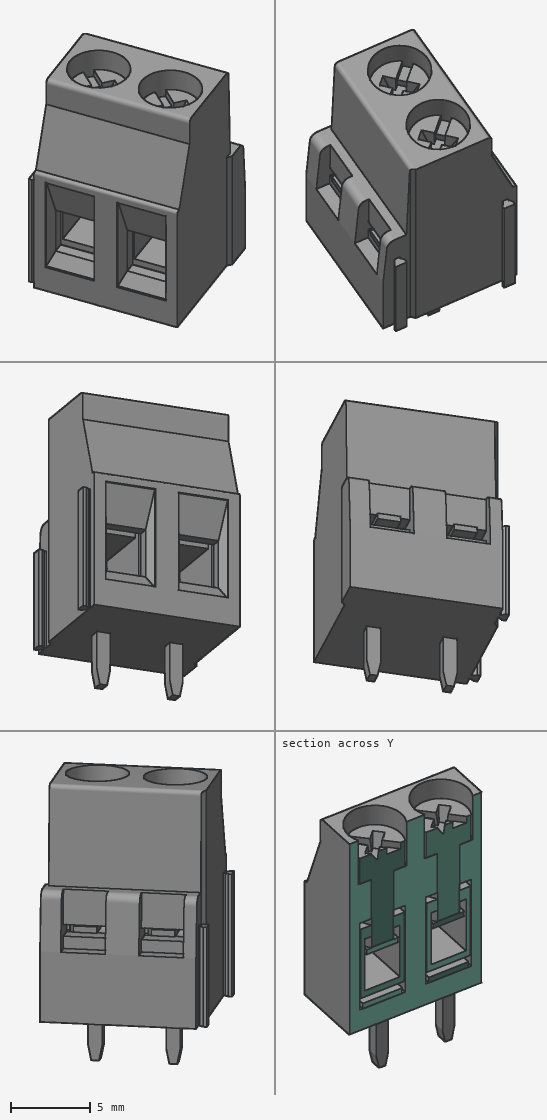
import cadquery as cq


PITCH = 5.0
POLES = 2
BODY_WIDTH = PITCH * POLES
POLE_XS = [PITCH * (i + 0.5) for i in range(POLES)]
SCREW_Y = 4.3

OVERALL_HEIGHT = 18.5
BODY_HEIGHT = 14.98
DEPTH = 9.5
FRONT_HEIGHT = 9.0
FRONT_ROUND = 0.2
SLOPE_FOOT_Y = 0.3
SLOPE_TOP_Y = 1.81
SLOPE_TOP_Z = 13.1
TOP_ROUND = 0.31
SIDE_STEP = 0.25
BACK_TOP_Y = 7.58
BACK_FOOT_Y = 7.83
STEP_FRONT_Y = 7.29
STEP_BACK_Y = STEP_FRONT_Y + SIDE_STEP
LEDGE_HEIGHT = 8.45
LEDGE_ROUND = 0.6
LEDGE_BACK_Y = 9.2
REAR_LEAN_Z = 4.6

RIB_WIDTH = 0.8
RIB_NECK_WIDTH = 0.4
RIB_REACH = 0.57
RIB_HEAD = 0.22
RIB_NECK = 0.11
FRONT_RIB_Y = 0.85
FRONT_RIB_HEIGHT = 8.0
REAR_RIB_Y = 8.51
REAR_RIB_HEIGHT = 6.5

MOUTH_WIDTH = 3.4
MOUTH_BOTTOM = 1.83
MOUTH_TOP = 8.42
MOUTH_DEPTH = 0.15
DUCT_WIDTH = 2.7
DUCT_BOTTOM = 2.7
DUCT_TOP = 5.88
FUNNEL_DEPTH = 0.63
DUCT_END_Y = 1.55

CAGE_GAP = 0.18
CAGE_FRONT_Y = DUCT_END_Y + CAGE_GAP
CAGE_LENGTH = 2 * (SCREW_Y - CAGE_FRONT_Y)
CAGE_BACK_Y = CAGE_FRONT_Y + CAGE_LENGTH
CAGE_WIDTH = 3.33
CAGE_BOTTOM = 2.5
CAGE_TOP = 7.95
BORE_WIDTH = 2.6
BORE_BOTTOM = 3.02
BORE_TOP = 7.03

STRIP_THICKNESS = 0.4
TONGUE_WIDTH = 2.37
TONGUE_BOTTOM = 5.75
TONGUE_TOP = TONGUE_BOTTOM + STRIP_THICKNESS
TONGUE_FRONT_Y = 2.04
BEND_RADIUS = 0.35
SHOULDER_Z = TONGUE_BOTTOM - BEND_RADIUS
LEG_WIDTH = 3.0
LEG_GAP = 0.1
LEG_FRONT_Y = CAGE_BACK_Y + LEG_GAP
LEG_BACK_Y = LEG_FRONT_Y + STRIP_THICKNESS
FOOT_BOTTOM = 1.66
TAB_WIDTH = 1.5
TAB_END_Y = 8.77
PIN_WIDTH = 0.9
PIN_THICKNESS = 0.8
PIN_FRONT_Y = 4.35
PIN_LENGTH = OVERALL_HEIGHT - BODY_HEIGHT
PIN_TIP_WIDTH = 0.5
PIN_TAPER_LENGTH = 1.0

CAVITY_WIDTH = MOUTH_WIDTH
CAVITY_TOP = MOUTH_TOP
NOTCH_WIDTH = 2.85
NOTCH_FRONT_Y = 8.55
NOTCH_LEAN = 0.05
NOTCH_FLOOR = REAR_LEAN_Z

HOLE_DIAMETER = 4.01
HEAD_DIAMETER = 3.83
HEAD_SINK = 1.45
HEAD_HEIGHT = 2.0
HEAD_TOP = BODY_HEIGHT - HEAD_SINK
HEAD_BOTTOM = HEAD_TOP - HEAD_HEIGHT
SHANK_DIAMETER = TONGUE_WIDTH
SLOT_WIDTH = 0.7
SLOT_DEPTH = 0.5
SLOT_ANGLE = -45
RECESS_DEPTH = 1.0
RECESS_TOP_LENGTH = 2.4
RECESS_BOTTOM_LENGTH = 1.45
RECESS_TOP_WIDTH = 0.78
RECESS_BOTTOM_WIDTH = 0.55


def block(x_center, width, y_start, y_end, z_start, z_end):
    """Box centred on x_center in X, between the given limits in Y and Z."""
    return (
        cq.Workplane("XY")
        .box(width, y_end - y_start, z_end - z_start, centered=(True, False, False))
        .translate((x_center, y_start, z_start))
    )


def cylinder(x, diameter, z_start, z_end):
    """Upright cylinder on a screw axis."""
    return cq.Workplane("XY", origin=(x, SCREW_Y, z_start)).circle(diameter / 2).extrude(z_end - z_start)



def main_body():
    """Stepped full-height part, cut back on its left side behind a 45 degree transition."""
    body = (
        cq.Workplane("YZ")
        .moveTo(0, 0)
        .lineTo(0, FRONT_HEIGHT - FRONT_ROUND)
        .radiusArc((FRONT_ROUND, FRONT_HEIGHT), FRONT_ROUND)
        .lineTo(SLOPE_FOOT_Y, FRONT_HEIGHT)
        .lineTo(SLOPE_TOP_Y, SLOPE_TOP_Z)
        .lineTo(SLOPE_TOP_Y, BODY_HEIGHT)
        .lineTo(BACK_TOP_Y, BODY_HEIGHT)
        .lineTo(BACK_FOOT_Y, LEDGE_HEIGHT)
        .lineTo(BACK_FOOT_Y, 0)
        .close()
        .extrude(BODY_WIDTH)
        .faces(">Z")
        .edges("|X")
        .fillet(TOP_ROUND)
    )
    left_step = (
        cq.Workplane("XY")
        .polyline([
            (0, STEP_FRONT_Y),
            (SIDE_STEP, STEP_BACK_Y),
            (SIDE_STEP, BACK_FOOT_Y),
            (0, BACK_FOOT_Y),
        ])
        .close()
        .extrude(BODY_HEIGHT)
    )
    return body.cut(left_step)


def rear_block():
    """Low rear part, shifted sideways, with a rounded ledge and a leaning rear face."""
    profile = (
        cq.Workplane("YZ")
        .polyline([
            (STEP_FRONT_Y, 0),
            (DEPTH, 0),
            (DEPTH, REAR_LEAN_Z),
            (LEDGE_BACK_Y, LEDGE_HEIGHT),
            (STEP_FRONT_Y, LEDGE_HEIGHT),
        ])
        .close()
        .extrude(BODY_WIDTH + SIDE_STEP)
        .faces(">Z")
        .edges(">Y")
        .fillet(LEDGE_ROUND)
    )
    plan = (
        cq.Workplane("XY")
        .polyline([
            (SIDE_STEP, STEP_BACK_Y),
            (SIDE_STEP, DEPTH),
            (BODY_WIDTH + SIDE_STEP, DEPTH),
            (BODY_WIDTH + SIDE_STEP, STEP_BACK_Y),
            (BODY_WIDTH, STEP_FRONT_Y),
            (BODY_WIDTH, STEP_BACK_Y),
        ])
        .close()
        .extrude(LEDGE_HEIGHT)
    )
    return profile.intersect(plan)


def dovetail_rib(side_x, y, height):
    """Upright rib with a wide head on a narrow neck, standing out from the left side."""
    tip_x = side_x - RIB_REACH
    return (
        cq.Workplane("XY")
        .polyline([
            (side_x, y - RIB_NECK_WIDTH / 2),
            (side_x - RIB_NECK, y - RIB_NECK_WIDTH / 2),
            (tip_x + RIB_HEAD, y - RIB_WIDTH / 2),
            (tip_x, y - RIB_WIDTH / 2),
            (tip_x, y + RIB_WIDTH / 2),
            (tip_x + RIB_HEAD, y + RIB_WIDTH / 2),
            (side_x - RIB_NECK, y + RIB_NECK_WIDTH / 2),
            (side_x, y + RIB_NECK_WIDTH / 2),
        ])
        .close()
        .extrude(height)
    )


def wire_entry(x):
    """Mouth, funnel and duct that lead the wire to the cage."""
    mouth = block(x, MOUTH_WIDTH, 0, MOUTH_DEPTH, MOUTH_BOTTOM, MOUTH_TOP)
    mouth_middle = (MOUTH_BOTTOM + MOUTH_TOP) / 2
    duct_middle = (DUCT_BOTTOM + DUCT_TOP) / 2
    funnel = (
        cq.Workplane("XZ", origin=(x, MOUTH_DEPTH, mouth_middle))
        .rect(MOUTH_WIDTH, MOUTH_TOP - MOUTH_BOTTOM)
        .workplane(offset=-FUNNEL_DEPTH)
        .center(0, duct_middle - mouth_middle)
        .rect(DUCT_WIDTH, DUCT_TOP - DUCT_BOTTOM)
        .loft(ruled=True)
    )
    duct = block(x, DUCT_WIDTH, MOUTH_DEPTH + FUNNEL_DEPTH, DUCT_END_Y, DUCT_BOTTOM, DUCT_TOP)
    return mouth.union(funnel).union(duct)


def pole_chamber(x):
    """Cavity for cage and strip, rear window and notch, pin slot and screw hole of one pole."""
    cavity = block(x, CAVITY_WIDTH, DUCT_END_Y, LEG_BACK_Y, FOOT_BOTTOM, CAVITY_TOP)
    window = block(x, NOTCH_WIDTH, LEG_BACK_Y, NOTCH_FRONT_Y, SHOULDER_Z, TONGUE_TOP)
    notch = (
        cq.Workplane("YZ", origin=(x, 0, 0))
        .polyline([
            (NOTCH_FRONT_Y, NOTCH_FLOOR),
            (DEPTH, NOTCH_FLOOR),
            (DEPTH, LEDGE_HEIGHT),
            (NOTCH_FRONT_Y - NOTCH_LEAN, LEDGE_HEIGHT),
        ])
        .close()
        .extrude(NOTCH_WIDTH / 2, both=True)
    )
    pin_slot = block(x, PIN_WIDTH, PIN_FRONT_Y, PIN_FRONT_Y + PIN_THICKNESS, 0, FOOT_BOTTOM)
    head_hole = cylinder(x, HOLE_DIAMETER, HEAD_BOTTOM, BODY_HEIGHT)
    shank_hole = cylinder(x, SHANK_DIAMETER, CAVITY_TOP, HEAD_BOTTOM)
    return cavity.union(window).union(notch).union(pin_slot).union(head_hole).union(shank_hole)


def make_housing():
    housing = main_body().union(rear_block())
    housing = housing.union(dovetail_rib(0, FRONT_RIB_Y, FRONT_RIB_HEIGHT))
    housing = housing.union(dovetail_rib(SIDE_STEP, REAR_RIB_Y, REAR_RIB_HEIGHT))
    for x in POLE_XS:
        housing = housing.cut(wire_entry(x)).cut(pole_chamber(x))
    return housing



def drive_recess(x):
    """Full-width slot crossed by a deeper recess with sloping ends."""
    slot = block(0, HEAD_DIAMETER, -SLOT_WIDTH / 2, SLOT_WIDTH / 2, -SLOT_DEPTH, 0)
    pocket = block(0, RECESS_BOTTOM_LENGTH, -SLOT_WIDTH / 2, SLOT_WIDTH / 2, -RECESS_DEPTH, 0)
    cross_arm = (
        cq.Workplane("XY")
        .rect(RECESS_TOP_WIDTH, RECESS_TOP_LENGTH)
        .workplane(offset=-RECESS_DEPTH)
        .rect(RECESS_BOTTOM_WIDTH, RECESS_BOTTOM_LENGTH)
        .loft(ruled=True)
    )
    recess = slot.union(pocket).union(cross_arm)
    return recess.rotate((0, 0, 0), (0, 0, 1), SLOT_ANGLE).translate((x, SCREW_Y, HEAD_TOP))


def make_screw(x):
    """Clamping screw whose shank presses on the contact tongue."""
    head = cylinder(x, HEAD_DIAMETER, HEAD_BOTTOM, HEAD_TOP)
    shank = cylinder(x, SHANK_DIAMETER, TONGUE_TOP, HEAD_BOTTOM)
    return head.union(shank).cut(drive_recess(x))



def make_cage(x):
    """Rectangular tube, open at both ends, with a hole in its roof for the screw."""
    tube = block(x, CAGE_WIDTH, CAGE_FRONT_Y, CAGE_BACK_Y, CAGE_BOTTOM, CAGE_TOP)
    bore = block(x, BORE_WIDTH, CAGE_FRONT_Y, CAGE_BACK_Y, BORE_BOTTOM, BORE_TOP)
    screw_hole = cylinder(x, SHANK_DIAMETER, BORE_TOP, CAGE_TOP)
    return tube.cut(bore).cut(screw_hole)



def tongue_and_bend(x):
    """Contact tongue that runs back through the cage and bends down behind it."""
    return (
        cq.Workplane("YZ", origin=(x, 0, 0))
        .moveTo(TONGUE_FRONT_Y, TONGUE_BOTTOM)
        .lineTo(LEG_FRONT_Y - BEND_RADIUS, TONGUE_BOTTOM)
        .radiusArc((LEG_FRONT_Y, SHOULDER_Z), BEND_RADIUS)
        .lineTo(LEG_BACK_Y, SHOULDER_Z)
        .radiusArc((LEG_FRONT_Y - BEND_RADIUS, TONGUE_TOP), -(BEND_RADIUS + STRIP_THICKNESS))
        .lineTo(TONGUE_FRONT_Y, TONGUE_TOP)
        .close()
        .extrude(TONGUE_WIDTH / 2, both=True)
    )


def solder_pin(x):
    """Rectangular pin with a tip that narrows in X."""
    taper_start = PIN_TAPER_LENGTH - PIN_LENGTH
    return (
        cq.Workplane("XZ", origin=(x, PIN_FRONT_Y, 0))
        .polyline([
            (-PIN_WIDTH / 2, FOOT_BOTTOM),
            (-PIN_WIDTH / 2, taper_start),
            (-PIN_TIP_WIDTH / 2, -PIN_LENGTH),
            (PIN_TIP_WIDTH / 2, -PIN_LENGTH),
            (PIN_WIDTH / 2, taper_start),
            (PIN_WIDTH / 2, FOOT_BOTTOM),
        ])
        .close()
        .extrude(-PIN_THICKNESS)
    )


def make_pin(x):
    leg = block(x, LEG_WIDTH, LEG_FRONT_Y, LEG_BACK_Y, FOOT_BOTTOM, SHOULDER_Z)
    foot = block(x, LEG_WIDTH, PIN_FRONT_Y, LEG_BACK_Y, FOOT_BOTTOM, FOOT_BOTTOM + STRIP_THICKNESS)
    tab = block(x, TAB_WIDTH, LEG_FRONT_Y - BEND_RADIUS, TAB_END_Y, TONGUE_BOTTOM, TONGUE_TOP)
    return tongue_and_bend(x).union(leg).union(foot).union(tab).union(solder_pin(x))


housing = make_housing()
screws = [make_screw(x) for x in POLE_XS]
cages = [make_cage(x) for x in POLE_XS]
pins = [make_pin(x) for x in POLE_XS]

result = cq.Compound.makeCompound([body.val() for body in [housing, *screws, *cages, *pins]])